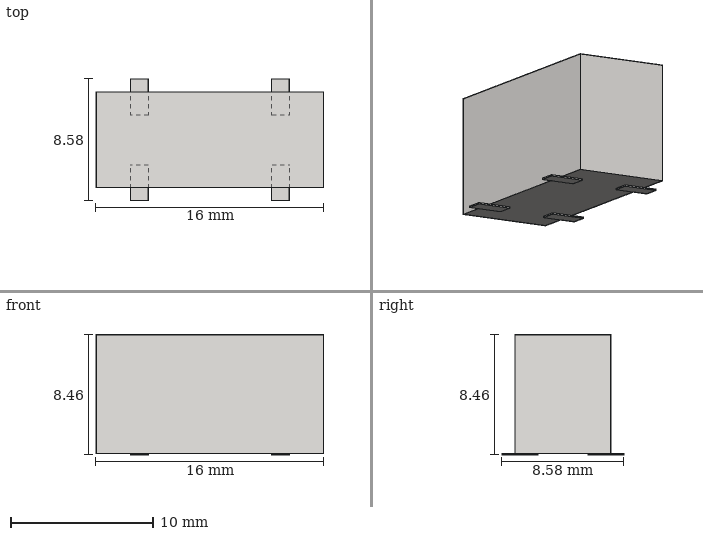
import cadquery as cq

body_length = 16.0
overall_width = 8.58
overall_height = 8.46

terminal_thickness = 0.1
terminal_width = 1.26
terminal_length = 2.53
terminal_pitch = 9.92

body_width = 6.75
body_height = overall_height - terminal_thickness


def make_body():
    """Plain block whose underside rests on the terminals at Z = 0."""
    return cq.Workplane("XY").box(body_length, body_width, body_height, centered=(True, True, False))


def make_terminal(x_side, y_side):
    """Flat terminal under the body, sticking out past one long side."""
    center_x = x_side * terminal_pitch / 2
    center_y = y_side * (overall_width - terminal_length) / 2
    return (
        cq.Workplane("XY")
        .center(center_x, center_y)
        .rect(terminal_width, terminal_length)
        .extrude(-terminal_thickness)
    )


body = make_body()
terminals = []
for x_side in (-1, 1):
    for y_side in (-1, 1):
        terminals.append(make_terminal(x_side, y_side).val())

result = cq.Compound.makeCompound([body.val(), *terminals])